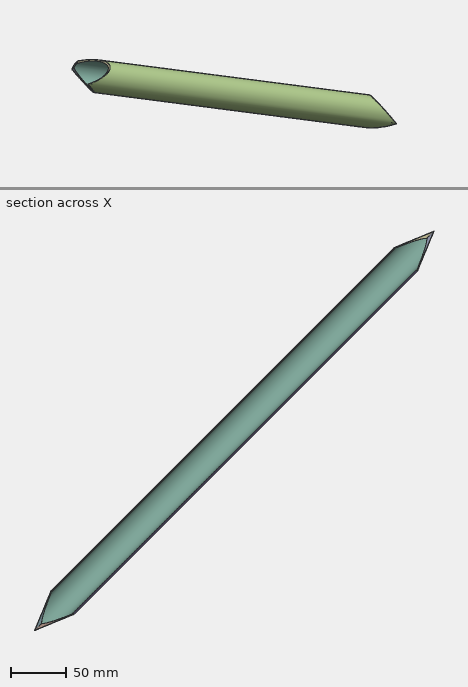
import cadquery as cq
import math

span = 360.0
tube_diameter = 30.0
wall = 1.5
tip_trim = 12.0
cutter_length = 144.0

tube_radius = tube_diameter / 2
tube_length = span * math.sqrt(2)
half_span = span / 2

tube_direction = cq.Vector(0, -1, 1)
upper_tip = cq.Vector(0, -half_span, half_span)
lower_tip = cq.Vector(0, half_span, -half_span)
tube_plane = cq.Plane(origin=lower_tip, xDir=(1, 0, 0), normal=tube_direction)


def make_tube():
    return (
        cq.Workplane(tube_plane)
        .circle(tube_radius)
        .circle(tube_radius - wall)
        .extrude(tube_length)
    )


def mating_tube(tip, axis):
    """Solid of the equal-diameter tube that runs through a tip along an axis."""
    start = tip - axis * (cutter_length / 2)
    return cq.Workplane(cq.Solid.makeCylinder(tube_radius, cutter_length, start, axis))


def tip_trimmer(start_along_tube):
    """Block that squares off one knife-edged tip on the -X side."""
    return (
        cq.Workplane(tube_plane)
        .workplane(offset=start_along_tube)
        .center(-tube_radius / 2, 0)
        .rect(tube_radius, tube_diameter)
        .extrude(tip_trim)
    )


result = make_tube()

for tip in (lower_tip, upper_tip):
    for axis in (cq.Vector(0, 1, 0), cq.Vector(0, 0, 1)):
        result = result.cut(mating_tube(tip, axis))

for trim_start in (0, tube_length - tip_trim):
    result = result.cut(tip_trimmer(trim_start))